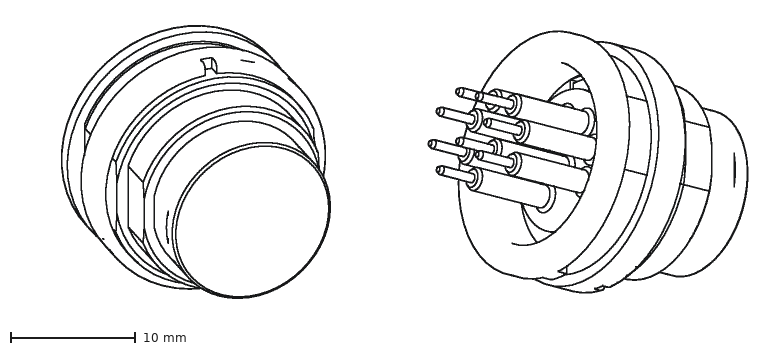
import cadquery as cq
import math


overall_length = 24.6

flange_diameter = 20.0
flange_thickness = 1.5
flange_fillet = 0.3
thread_diameter = 18.1
root_fillet = 0.12
thread_end = 8.5
thread_chamfer_length = 0.2
thread_end_diameter = 17.2
collar_diameter = 16
collar_end = 12.0
collar_chamfer_length = 0.22
collar_chamfer_depth = 0.37
nose_diameter = 13.6
nose_end = 16.5
nose_chamfer = 0.22

thread_flats = 17.0
collar_flats = 15.05
nose_flats = 13.3
nose_flat_end = 15.03

key_length = 0.89
key_width = 1.97

recess_diameter = 15
recess_depth = 4.5
recess_fillet = 0.3
insert_diameter = 11.7
insert_face = 3.0
keyway_width = 2.31
keyway_top = 7.4
keyway_depth = 0.98
tongue_width = 2.16
tongue_top = 7.15
tongue_recess = 0.25
tongue_root_diameter = 12.8

contact_circle_radius = 3.5
contact_angles = [-45, 0, 45, 90, 135, 180, 225]
inner_contact_drop = 0.7
barrel_diameter = 1.9
barrel_tip_diameter = 1.5
barrel_length = 4.6
barrel_chamfer_length = 0.32
boss_diameter = 2.53
wire_diameter = 0.75
wire_tip_diameter = 0.45
wire_tip_length = 0.32
contact_length = overall_length - nose_end

nut_start = 4.5
nut_thickness = 3.0
nut_fillet = 0.5
nut_slot_width = 0.98
nut_slot_depth = 1.03


def revolve_about_x(profile):
    """Turn a profile, drawn as X and radius, into a solid around the X axis."""
    return profile.close().revolve(360, (0, 0, 0), (1, 0, 0))


def box(x_start, x_end, y_size, z_start, z_end):
    """Box centred on Y = 0 between two X and two Z positions."""
    return cq.Workplane("XY").box(
        x_end - x_start, y_size, z_end - z_start, centered=(False, True, False)
    ).translate((x_start, 0, z_start))


def turned_body():
    flange_radius = flange_diameter / 2
    thread_radius = thread_diameter / 2
    collar_radius = collar_diameter / 2
    nose_radius = nose_diameter / 2
    recess_radius = recess_diameter / 2
    arc_offset = 1 - math.sqrt(0.5)
    profile = (
        cq.Workplane("XY")
        .moveTo(insert_face, 0)
        .lineTo(insert_face, insert_diameter / 2)
        .lineTo(recess_depth, insert_diameter / 2)
        .lineTo(recess_depth, recess_radius)
        .lineTo(recess_fillet, recess_radius)
        .threePointArc(
            (recess_fillet * arc_offset, recess_radius + recess_fillet * arc_offset),
            (0, recess_radius + recess_fillet),
        )
        .lineTo(0, flange_radius - flange_fillet)
        .threePointArc(
            (flange_fillet * arc_offset, flange_radius - flange_fillet * arc_offset),
            (flange_fillet, flange_radius),
        )
        .lineTo(flange_thickness, flange_radius)
        .lineTo(flange_thickness, thread_radius + root_fillet)
        .threePointArc(
            (flange_thickness + root_fillet * arc_offset, thread_radius + root_fillet * arc_offset),
            (flange_thickness + root_fillet, thread_radius),
        )
        .lineTo(thread_end - thread_chamfer_length, thread_radius)
        .lineTo(thread_end, thread_end_diameter / 2)
        .lineTo(thread_end, collar_radius)
        .lineTo(collar_end - collar_chamfer_length, collar_radius)
        .lineTo(collar_end, collar_radius - collar_chamfer_depth)
        .lineTo(collar_end, nose_radius)
        .lineTo(nose_end - nose_chamfer, nose_radius)
        .lineTo(nose_end, nose_radius - nose_chamfer)
        .lineTo(nose_end, 0)
    )
    return revolve_about_x(profile)


def cut_flats(body, x_start, x_end, across_flats):
    """Cut a pair of flats, facing +Y and -Y, into a stretch of the body."""
    reach = flange_diameter / 2
    stretch = box(x_start, x_end, flange_diameter, -reach, reach)
    kept = box(x_start, x_end, across_flats, -reach, reach)
    return body.cut(stretch.cut(kept))


def flange_key():
    """Key on the front of the flange at -Z, rounded to the flange outline."""
    flange_radius = flange_diameter / 2
    key_end = flange_thickness + key_length
    key_root = -math.sqrt((thread_diameter / 2) ** 2 - (key_width / 2) ** 2)
    blank = box(flange_thickness, key_end, key_width, -flange_radius, key_root)
    rounding = cq.Workplane("YZ").circle(flange_radius).extrude(key_end)
    return blank.intersect(rounding)


def keyway():
    """Pocket in the recess floor from the insert outwards, with a sunken tongue in it."""
    pocket_end = recess_depth + keyway_depth
    tongue_start = recess_depth + tongue_recess
    insert = cq.Workplane("YZ").circle(insert_diameter / 2).extrude(pocket_end)
    tongue = box(tongue_start, pocket_end, tongue_width, 0, tongue_top)
    tongue_root = (
        cq.Workplane("YZ", origin=(tongue_start, 0, 0))
        .circle(tongue_root_diameter / 2)
        .extrude(pocket_end - tongue_start)
    )
    pocket = box(recess_depth, pocket_end, keyway_width, 0, keyway_top)
    return pocket.cut(insert).cut(tongue).cut(tongue_root)


def contact(y, z):
    """Solder contact rising from the insert face, pointing to -X."""
    barrel_radius = barrel_diameter / 2
    boss_radius = boss_diameter / 2
    boss_height = boss_radius - barrel_radius
    profile = (
        cq.Workplane("XY")
        .moveTo(insert_face, 0)
        .lineTo(insert_face, boss_radius)
        .lineTo(insert_face - boss_height, barrel_radius)
        .lineTo(barrel_chamfer_length - barrel_length, barrel_radius)
        .lineTo(-barrel_length, barrel_tip_diameter / 2)
        .lineTo(-barrel_length, wire_diameter / 2)
        .lineTo(wire_tip_length - contact_length, wire_diameter / 2)
        .lineTo(-contact_length, wire_tip_diameter / 2)
        .lineTo(-contact_length, 0)
    )
    return revolve_about_x(profile).translate((0, y, z))


def make_housing():
    body = turned_body()
    body = cut_flats(body, flange_thickness, thread_end, thread_flats)
    body = cut_flats(body, thread_end, collar_end, collar_flats)
    body = cut_flats(body, collar_end, nose_flat_end, nose_flats)
    body = body.union(flange_key()).cut(keyway())
    for angle in contact_angles:
        y = contact_circle_radius * math.cos(math.radians(angle))
        z = contact_circle_radius * math.sin(math.radians(angle))
        body = body.union(contact(y, z))
    return body.union(contact(0, -inner_contact_drop))


def make_nut():
    nut_end = nut_start + nut_thickness
    outer_radius = flange_diameter / 2
    blank = (
        cq.Workplane("YZ", origin=(nut_start, 0, 0))
        .circle(outer_radius)
        .extrude(nut_thickness)
        .faces(">X")
        .edges()
        .fillet(nut_fillet)
    )
    bore = cq.Workplane("YZ").circle(thread_diameter / 2).extrude(nut_end)
    slots = box(nut_end - nut_slot_depth, nut_end, nut_slot_width, -outer_radius, outer_radius)
    return blank.cut(bore).cut(slots)


housing = make_housing()
nut = make_nut()
result = cq.Compound.makeCompound([housing.val(), nut.val()])